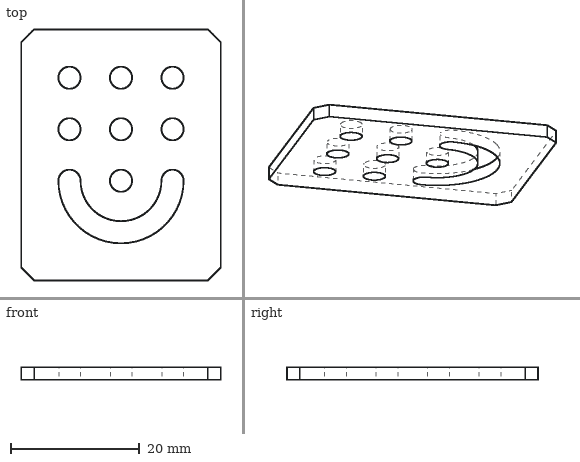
import cadquery as cq

plate_width = 31.0
plate_length = 39.0
plate_thickness = 2.0
corner_chamfer = 2.0

hole_diameter = 3.4
hole_pitch = 8.0
pivot_y = -4.0

slot_end_radius = hole_diameter / 2
slot_outer_radius = hole_pitch + slot_end_radius
slot_inner_radius = hole_pitch - slot_end_radius


def make_plate():
    """Flat rectangular plate with chamfered corners, resting on Z = 0."""
    plate = cq.Workplane("XY").rect(plate_width, plate_length).extrude(plate_thickness)
    return plate.edges("|Z").chamfer(corner_chamfer)


def make_holes():
    """Pivot hole plus two rows of three holes above it."""
    centres = [(0, pivot_y)]
    for row in (1, 2):
        for column in (-1, 0, 1):
            centres.append((column * hole_pitch, pivot_y + row * hole_pitch))
    return cq.Workplane("XY").pushPoints(centres).circle(hole_diameter / 2).extrude(plate_thickness)


def make_arc_slot():
    """Half-circle slot below the pivot hole, with rounded ends."""
    return (
        cq.Workplane("XY", origin=(0, pivot_y, 0))
        .moveTo(-slot_outer_radius, 0)
        .threePointArc((0, -slot_outer_radius), (slot_outer_radius, 0))
        .threePointArc((hole_pitch, slot_end_radius), (slot_inner_radius, 0))
        .threePointArc((0, -slot_inner_radius), (-slot_inner_radius, 0))
        .threePointArc((-hole_pitch, slot_end_radius), (-slot_outer_radius, 0))
        .close()
        .extrude(plate_thickness)
    )


result = make_plate().cut(make_holes()).cut(make_arc_slot())